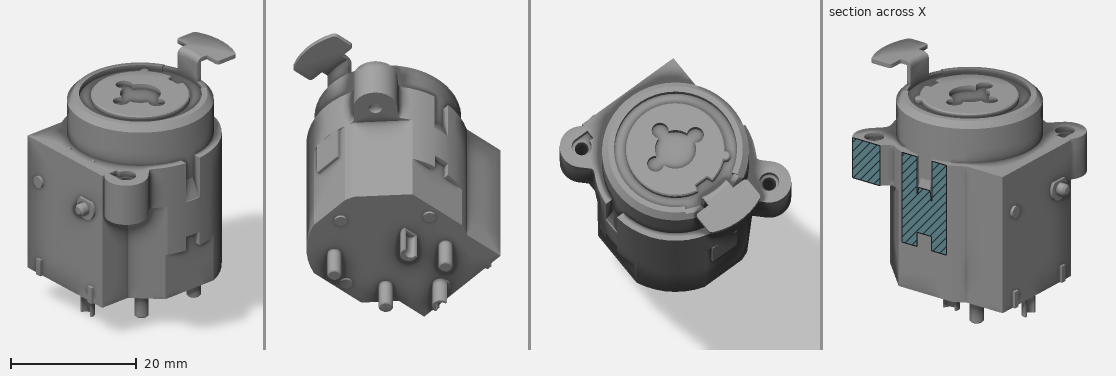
import cadquery as cq
import math


overall_width = 27.0
overall_depth = 33.33
overall_height = 39.3
pin_length = 4.9
top_z = overall_height - pin_length

body_radius = 12.95
body_height = 23.65
block_left = -10.73
block_right = 7.62
block_front = -14.45
back_flat_y = 12.4
side_flat_x = 11.85
side_flat_height = 7.98
side_slot_half_width = 1.4
side_slot_height = 10.45
back_rib_width = 4.87
back_rib_base = side_slot_height
back_rib_y = 12.9

ear_radius = 3.5
ear_direction = 135.0
ear_x = overall_width / 2 - ear_radius
ear_y = 11.48
ear_base = 16.62
ear_root_fillet = 0.65
ear_back_fillet = 1.57
screw_hole_diameter = 2.2
screw_head_diameter = 3.2
screw_head_depth = 1.0
rear_relief_offset = 12.1
front_relief_offset = 11.83

barrel_radius = 23.4 / 2
barrel_top = 30.58
barrel_chamfer = 1.0
recess_radius = 9.8
recess_depth = 1.0
recess_floor = barrel_top - recess_depth
latch_slot_radius = 10.15
latch_slot_half_angle = 29.0
latch_rim_drop = 0.28
disc_radius = 7.9
disc_chamfer = 0.2
disc_notch_outer_half = 1.5
disc_notch_inner_half = 1.15
disc_notch_y = 6.8
key_radius = 0.8
key_offset = 8.0
key_angle = 135.0
jack_opening_radius = 3.25
contact_hole_radius = 1.35
contact_offset = 4.0

tab_half_width = 5.1
tab_end_y = 16.9
tab_root_y = 11.83
tab_side_y = 15.7
tab_tip_fillet = 0.8
tab_root_fillet = 0.6
tab_thickness = 0.7
stem_width = 4.87
stem_outer_radius = 10.9
bend_radius = 1.02

catch_slot_width = 2.85
catch_height = 3.22
catch_top_width = 1.93
catch_reach = 1.1

boss_z = ear_base
front_pad_height = 0.47
button_x = -7.7
button_diameter = 2.0
post_x = 3.95
post_diameter = 2.0
post_tip_y = tab_end_y - overall_depth
post_chamfer = 0.4
post_base_radius = 2.0
post_base_flat = 1.4
foot_rib_width = 1.0
foot_rib_height = 2.83
foot_rib_centers = (-7.55, 5.05)
nib_size = 0.47
nib_height = 0.28
nib_x = 2.9
nib_y = -12.25
ear_pocket_top_y = -11.5

foot_diameter = 2.0
foot_height = 0.4
foot_centers = ((-10.02, 0), (10.02, 0), (0, 10.0), (0, -12.03))
round_pin_diameter = 2.28
round_pin_centers = ((6.45, 5.65), (-6.7, -6.35), (6.45, -5.25))
pin_tip_chamfer = 0.2
channel_width = 2.67
channel_wall = 0.35
front_channel_center = (0.45, -11.75)
front_channel_depth = 1.5
left_channel_center = (-5.42, -0.08)
left_channel_depth = 1.9

overlap = 0.4


def cylinder(x, y, radius, bottom, top):
    return cq.Workplane("XY", origin=(x, y, bottom)).circle(radius).extrude(top - bottom)


def block(x0, x1, y0, y1, z0, z1):
    return cq.Workplane("XY").box(x1 - x0, y1 - y0, z1 - z0, centered=False).translate((x0, y0, z0))


def half_turn(shape):
    return shape.rotate((0, 0, 0), (0, 0, 1), 180)


def make_ear():
    """Rear left ear: a round end whose 45 degree flanks run into a disc of the housing."""
    arm_length = 2 * ear_radius
    arm = (
        cq.Workplane("XY", origin=(0, 0, ear_base))
        .rect(arm_length, 2 * ear_radius)
        .extrude(body_height - ear_base)
        .translate((arm_length / 2, 0, 0))
        .rotate((0, 0, 0), (0, 0, 1), ear_direction - 180)
        .translate((-ear_x, ear_y, 0))
    )
    ear = cylinder(0, 0, body_radius, ear_base, body_height)
    ear = ear.union(cylinder(-ear_x, ear_y, ear_radius, ear_base, body_height)).union(arm)

    diagonal = math.sqrt(0.5)
    center_offset = (ear_y - ear_x) * diagonal
    for side, fillet in ((1, ear_back_fillet), (-1, ear_root_fillet)):
        offset = center_offset + side * ear_radius
        along = math.sqrt(body_radius**2 - offset**2)
        corner = (
            (offset - along) * diagonal,
            (offset + along) * diagonal,
            (ear_base + body_height) / 2,
        )
        ear = ear.edges(cq.selectors.NearestToPointSelector(corner)).fillet(fillet)
    return ear


def make_housing():
    housing = cylinder(0, 0, body_radius, 0, body_height)

    size = 2 * body_radius
    for offset, angle in (
        (rear_relief_offset, ear_direction),
        (front_relief_offset, ear_direction - 180),
    ):
        relief = block(offset, size, -size, size, 0, ear_base)
        housing = housing.cut(relief.rotate((0, 0, 0), (0, 0, 1), angle))
    housing = housing.cut(block(-size, size, back_flat_y, size, 0, ear_base))

    housing = housing.union(block(block_left, block_right, block_front, 0, 0, body_height))

    side_cut = block(side_flat_x, size, -body_radius / 2, body_radius / 2, 0, side_flat_height)
    side_cut = side_cut.union(
        block(side_flat_x, size, -side_slot_half_width, side_slot_half_width, 0, side_slot_height)
    )
    housing = housing.cut(side_cut).cut(half_turn(side_cut))

    rib_half = back_rib_width / 2
    housing = housing.union(block(-rib_half, rib_half, 0, back_rib_y, back_rib_base, ear_base))
    ear = make_ear()
    return housing.union(ear).union(half_turn(ear))


def cut_screw_holes(body):
    head_floor = body_height - screw_head_depth
    for side in (-1, 1):
        x, y = side * ear_x, -side * ear_y
        body = body.cut(cylinder(x, y, screw_hole_diameter / 2, ear_base, body_height))
        body = body.cut(cylinder(x, y, screw_head_diameter / 2, head_floor, body_height))
    pocket_bottom_y = -ear_y - screw_head_diameter / 2
    pocket = block(block_right, ear_x, pocket_bottom_y, ear_pocket_top_y, head_floor, body_height)
    return body.cut(pocket)


def make_catch_slot():
    """Slot in the +X side that bottoms on the barrel radius, less the sloped catch inside it."""
    half = catch_slot_width / 2
    slot = block(0, 2 * body_radius, -half, half, ear_base, body_height)
    slot = slot.cut(cylinder(0, 0, barrel_radius, ear_base, body_height))
    catch_root = barrel_radius - overlap
    slope = (
        cq.Workplane("XZ")
        .moveTo(catch_root, ear_base)
        .lineTo(barrel_radius + catch_reach, ear_base)
        .lineTo(barrel_radius, ear_base + catch_height)
        .lineTo(catch_root, ear_base + catch_height)
        .close()
        .extrude(half, both=True)
    )
    taper = (
        cq.Workplane("YZ")
        .moveTo(-half, ear_base)
        .lineTo(half, ear_base)
        .lineTo(catch_top_width / 2, ear_base + catch_height)
        .lineTo(-catch_top_width / 2, ear_base + catch_height)
        .close()
        .extrude(2 * body_radius)
    )
    return slot.cut(slope.intersect(taper))


def make_barrel():
    barrel = cylinder(0, 0, barrel_radius, body_height - overlap, barrel_top)
    barrel = barrel.faces(">Z").edges().chamfer(barrel_chamfer)
    barrel = barrel.cut(cylinder(0, 0, recess_radius, recess_floor, barrel_top))

    reach = barrel_radius + barrel_chamfer
    half_span = reach * math.tan(math.radians(latch_slot_half_angle))
    sector = (
        cq.Workplane("XY", origin=(0, 0, recess_floor))
        .polyline([(0, 0), (half_span, reach), (-half_span, reach)])
        .close()
        .extrude(recess_depth)
    )
    widening = cylinder(0, 0, latch_slot_radius, recess_floor, barrel_top)
    rim_cut = cylinder(0, 0, barrel_radius, barrel_top - latch_rim_drop, barrel_top)
    return barrel.cut(widening.union(rim_cut).intersect(sector)).union(make_face_disc())


def make_face_disc():
    bottom = recess_floor - overlap
    angle = math.radians(key_angle)
    disc = cylinder(0, 0, disc_radius, bottom, barrel_top)
    disc = disc.union(
        cylinder(key_offset * math.cos(angle), key_offset * math.sin(angle), key_radius, bottom, barrel_top)
    )
    notch = (
        cq.Workplane("XY", origin=(0, 0, recess_floor))
        .moveTo(-disc_notch_inner_half, disc_notch_y)
        .lineTo(disc_notch_inner_half, disc_notch_y)
        .lineTo(disc_notch_outer_half, disc_radius)
        .lineTo(-disc_notch_outer_half, disc_radius)
        .close()
        .extrude(recess_depth)
    )
    disc = disc.cut(notch).faces(">Z").edges().chamfer(disc_chamfer)

    disc = disc.cut(cylinder(0, 0, jack_opening_radius, recess_floor, barrel_top))
    for x, y in ((-contact_offset, 0), (contact_offset, 0), (0, -contact_offset)):
        disc = disc.cut(cylinder(x, y, contact_hole_radius, recess_floor, barrel_top))
    return disc


def make_latch():
    half_stem = stem_width / 2
    plate_bottom = top_z - tab_thickness
    plate = (
        cq.Workplane("XY", origin=(0, 0, plate_bottom))
        .moveTo(-tab_half_width, tab_root_y)
        .lineTo(tab_half_width, tab_root_y)
        .lineTo(tab_half_width, tab_side_y)
        .threePointArc((0, tab_end_y), (-tab_half_width, tab_side_y))
        .close()
        .extrude(tab_thickness)
    )
    plate = plate.edges("|Z").edges(">Y").fillet(tab_tip_fillet)
    plate = plate.edges("|Z").edges("<Y").fillet(tab_root_fillet)

    stem = cylinder(0, 0, stem_outer_radius, recess_floor - overlap, top_z)
    neck_end = tab_root_y + overlap
    stem = stem.union(block(-half_stem, half_stem, latch_slot_radius, neck_end, plate_bottom, top_z))
    stem = stem.intersect(block(-half_stem, half_stem, 0, tab_end_y, 0, top_z))
    stem = stem.cut(cylinder(0, 0, latch_slot_radius, 0, top_z))
    bend_edge = cq.selectors.NearestToPointSelector((0, latch_slot_radius, top_z))
    stem = stem.edges(bend_edge).fillet(bend_radius)
    return plate.union(stem)


def front_plane(x, z):
    return cq.Workplane("XZ", origin=(x, block_front + overlap, z))


def make_front_details():
    depth = front_pad_height + overlap
    details = front_plane(button_x, boss_z).circle(button_diameter / 2).extrude(depth)

    base = front_plane(post_x, boss_z).circle(post_base_radius).extrude(depth)
    flat_z = boss_z + post_base_flat
    span = 2 * post_base_radius
    base = base.cut(block(post_x - span, post_x + span, 2 * block_front, 0, flat_z, flat_z + span))
    post_length = block_front + overlap - post_tip_y
    post = front_plane(post_x, boss_z).circle(post_diameter / 2).extrude(post_length)
    post = post.faces("<Y").chamfer(post_chamfer)
    details = details.union(base).union(post)

    for x in foot_rib_centers:
        half = foot_rib_width / 2
        rib = block(x - half, x + half, -depth, 0, 0, foot_rib_height)
        details = details.union(rib.translate((0, block_front + overlap, 0)))
    return details


def make_nibs():
    """Two small ridges of triangular section on top of the housing."""
    nibs = cq.Workplane("XY")
    for x in (-nib_x, nib_x):
        nib = (
            cq.Workplane("YZ", origin=(x, nib_y, body_height))
            .polyline([(-nib_size / 2, 0), (nib_size / 2, 0), (0, nib_height)])
            .close()
            .extrude(nib_size / 2, both=True)
        )
        nibs = nibs.union(nib)
    return nibs


def make_channel_pin(depth):
    """Contact with a rounded back and a round groove facing -Y, its open side on the XZ plane."""
    half = channel_width / 2
    back_y = depth - half
    pin = block(-half, half, 0, back_y, -pin_length, overlap)
    back = cylinder(0, back_y, half, -pin_length, overlap)
    pin = pin.union(back.intersect(block(-half, half, 0, depth, -pin_length, overlap)))
    return pin.cut(cylinder(0, 0, half - channel_wall, -pin_length, -foot_height))


def make_underside():
    parts = cq.Workplane("XY")
    for x, y in foot_centers:
        parts = parts.union(cylinder(x, y, foot_diameter / 2, -foot_height, overlap))
    for x, y in round_pin_centers:
        pin = cylinder(x, y, round_pin_diameter / 2, -pin_length, overlap)
        parts = parts.union(pin.faces("<Z").chamfer(pin_tip_chamfer))
    front_x, front_y = front_channel_center
    parts = parts.union(make_channel_pin(front_channel_depth).translate((front_x, front_y, 0)))
    left_x, left_y = left_channel_center
    left = make_channel_pin(left_channel_depth).rotate((0, 0, 0), (0, 0, 1), -90)
    return parts.union(left.translate((left_x, left_y, 0)))


catch_slot = make_catch_slot()
result = cut_screw_holes(make_housing()).union(make_barrel())
result = result.cut(catch_slot).cut(half_turn(catch_slot))
result = result.union(make_latch()).union(make_front_details())
result = result.union(make_nibs()).union(make_underside())